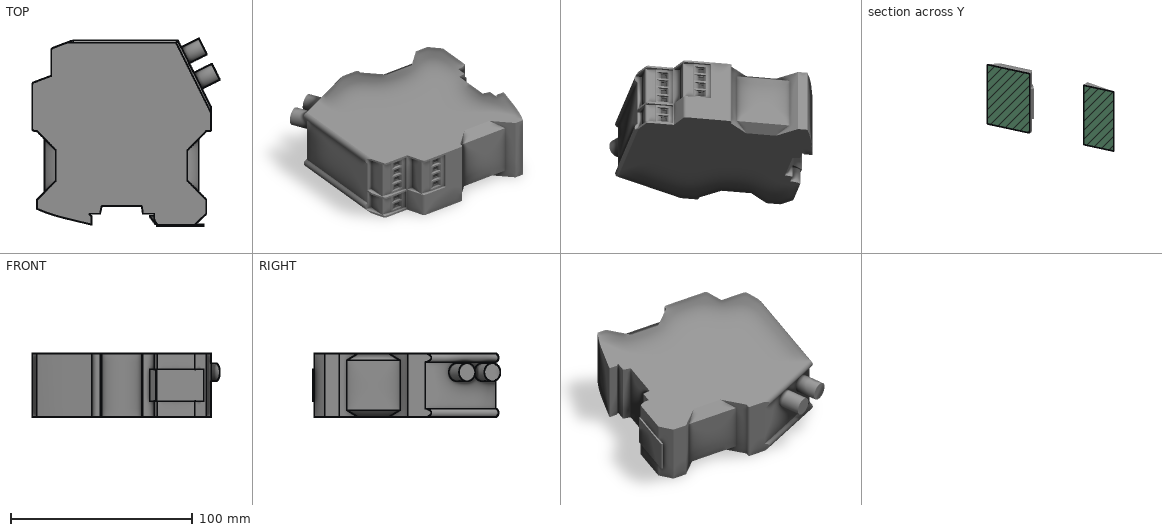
import cadquery as cq
import math

WIDTH = 98.9
THICK = 35.2

STEP_X = 10.5
STEP_LOW_Y = 79.1
STEP_HEIGHT = 19.0
STEP_SLOPE = math.radians(20.5)
STEP_ROUND = 1.8

COVER_Y = 101.2
COVER_CORNER_X = 79.5
SLANT_END_Y = 62.3
RAIL_HEIGHT = 1.5
RAIL_RADIUS = 2.7
RAIL_INSET = 2.4

SHOULDER_Y = 52.5
SHOULDER_X = 2.7
SHOULDER_ROUND_LEFT = 1.5
SHOULDER_ROUND_RIGHT = 0.9
WAIST_X = 13.2
WAIST_TOP_Y = 41.9
WAIST_LOW_Y = 25.2
PAD_X = 6.8
PAD_BEVEL = 3.8

FOOT_TOP_Y = WAIST_LOW_Y - (WAIST_X - SHOULDER_X)
FOOT_LEFT_Y = 9.5
FOOT_ARC_MID = (10.0, 6.7)
FOOT_ARC_END = (17.5, 4.6)
FOOT_TIP = (32.9, 0.8)
LIP_TOP_Y = 5.5
RAIL_SEAT_Y = 6.8
RAIL_LEFT_X = 31.7
RAIL_RIGHT_X = 67.3
RECESS_TOP_Y = 11.1
RECESS_LOW_X = (37.5, 61.1)
RECESS_TOP_X = (38.5, 60.5)
HEEL_X = 69.2
HEEL_TOP_Y = 4.7
HEEL_MID = (67.9, 2.7)
HEEL_Y = 0.8
TOE_X = 89.8
TOE_Y = 6.8

CLIP_START_X = 68.8
CLIP_END_X = 94.8
CLIP_THICK = 1.0
CLIP_HOOK_X = 64.8
CLIP_HOOK_END_X = 68.2
CLIP_HOOK_TIP = 0.4
CLIP_HOOK_Y = 5.9
CLIP_LOW_Z = 8.8
CLIP_HIGH_Z = 26.3

KNOB_RADIUS = 5.0
KNOB_LENGTH = 13.5
KNOB_Z = 24.8
KNOB_ENDS = [(94.3, 99.3), (101.4, 85.3)]

PLUG_TOP = 0.5
PLUG_LIP = 0.8
PLUG_SLANT_END = -5.1
PLUG_FACE_TOP = -5.4
PLUG_BOTTOM = -14.7
PLUG_LIP_SETBACK = 1.8
PLUG_SETBACK = 2.3
PLUG_SLANT_SETBACK = 1.8
PLUG_FACE_SETBACK = 1.3
SIDE_WALL = 1.1

WIDE_PLUG = (13.1, THICK - SIDE_WALL)
NARROW_PLUG = (SIDE_WALL, 12.0)
WIDE_FIRST_PORT = 16.3
NARROW_FIRST_PORT = 4.1

PITCH = 4.8
PORT_WIDTH = 3.7
PORT_TOP = -5.7
PORT_FLOOR_TOP = -8.5
PORT_FLOOR_BOTTOM = -11.4
PORT_BOTTOM = -12.4
PORT_DEPTH = 1.7
WIRE_HOLE_DEPTH = 2.5
WIRE_HOLE_INSET = 0.4

SLANT_DX = WIDTH - COVER_CORNER_X
SLANT_DY = COVER_Y - SLANT_END_Y
SLANT_LENGTH = math.hypot(SLANT_DX, SLANT_DY)
SLANT_ANGLE = math.degrees(math.atan2(SLANT_DY, SLANT_DX))
NORMAL = (SLANT_DY / SLANT_LENGTH, SLANT_DX / SLANT_LENGTH)
STEP_HIGH_Y = STEP_LOW_Y + STEP_HEIGHT
RAIL_TOP_Y = COVER_Y + RAIL_HEIGHT
SLANT_RISE = RAIL_HEIGHT * SLANT_LENGTH / SLANT_DX
RAIL_TOP_LEFT_X = STEP_X + (RAIL_TOP_Y - STEP_HIGH_Y) / math.tan(STEP_SLOPE)
RAIL_TOP_RIGHT_X = COVER_CORNER_X + (SLANT_RISE - RAIL_HEIGHT) * SLANT_DX / SLANT_DY


def prism(points, low=0, high=THICK):
    return cq.Workplane("XY", origin=(0, 0, low)).polyline(points).close().extrude(high - low)


def round_corner(body, x, y, radius):
    tiny = 0.1
    picker = cq.selectors.BoxSelector((x - tiny, y - tiny, -1), (x + tiny, y + tiny, THICK + 1))
    return body.edges("|Z").edges(picker).fillet(radius)


def housing():
    body = (
        cq.Workplane("XY")
        .moveTo(SHOULDER_X, FOOT_TOP_Y)
        .lineTo(SHOULDER_X, FOOT_LEFT_Y)
        .threePointArc(FOOT_ARC_MID, FOOT_ARC_END)
        .lineTo(*FOOT_TIP)
        .lineTo(FOOT_TIP[0], LIP_TOP_Y)
        .lineTo(RAIL_LEFT_X, LIP_TOP_Y + FOOT_TIP[0] - RAIL_LEFT_X)
        .lineTo(RAIL_LEFT_X, RAIL_SEAT_Y)
        .lineTo(RECESS_LOW_X[0], RAIL_SEAT_Y)
        .lineTo(RECESS_TOP_X[0], RECESS_TOP_Y)
        .lineTo(RECESS_TOP_X[1], RECESS_TOP_Y)
        .lineTo(RECESS_LOW_X[1], RAIL_SEAT_Y)
        .lineTo(RAIL_RIGHT_X, RAIL_SEAT_Y)
        .lineTo(RAIL_RIGHT_X, HEEL_TOP_Y)
        .threePointArc(HEEL_MID, (HEEL_X, HEEL_Y))
        .lineTo(TOE_X, HEEL_Y)
        .lineTo(WIDTH - SHOULDER_X, TOE_Y)
        .lineTo(WIDTH - SHOULDER_X, FOOT_TOP_Y)
        .lineTo(WIDTH - WAIST_X, WAIST_LOW_Y)
        .lineTo(WIDTH - WAIST_X, WAIST_TOP_Y)
        .lineTo(WIDTH - SHOULDER_X, SHOULDER_Y)
        .lineTo(WIDTH, SHOULDER_Y)
        .lineTo(WIDTH, SLANT_END_Y + SLANT_RISE)
        .lineTo(RAIL_TOP_RIGHT_X, RAIL_TOP_Y)
        .lineTo(RAIL_TOP_LEFT_X, RAIL_TOP_Y)
        .lineTo(STEP_X, STEP_HIGH_Y)
        .lineTo(STEP_X, STEP_LOW_Y + STEP_X * math.tan(STEP_SLOPE))
        .lineTo(0, STEP_LOW_Y)
        .lineTo(0, SHOULDER_Y)
        .lineTo(SHOULDER_X, SHOULDER_Y)
        .lineTo(WAIST_X, WAIST_TOP_Y)
        .lineTo(WAIST_X, WAIST_LOW_Y)
        .close()
        .extrude(THICK)
    )
    body = round_corner(body, 0, STEP_LOW_Y, STEP_ROUND)
    body = round_corner(body, STEP_X, STEP_HIGH_Y, STEP_ROUND)
    body = round_corner(body, 0, SHOULDER_Y, SHOULDER_ROUND_LEFT)
    return round_corner(body, WIDTH, SHOULDER_Y, SHOULDER_ROUND_RIGHT)


def rail_relief(angle):
    """Material above the cover, less two rounded rails, along an edge leaving the cover corner."""
    length = 2 * WIDTH
    height = 2 * RAIL_HEIGHT
    relief = cq.Workplane("XY").box(length, height, THICK, centered=(True, False, False))
    for z in (RAIL_INSET, THICK - RAIL_INSET):
        rail = (
            cq.Workplane("YZ", origin=(-length / 2, 0, 0))
            .center(RAIL_HEIGHT - RAIL_RADIUS, z)
            .circle(RAIL_RADIUS)
            .extrude(length)
        )
        relief = relief.cut(rail)
    relief = relief.rotate((0, 0, 0), (0, 0, 1), angle)
    return relief.translate((COVER_CORNER_X, COVER_Y, 0))


def pad():
    """Left waist pad with sides bevelled down to the notch wall."""
    notch = prism([
        (SHOULDER_X, FOOT_TOP_Y),
        (WAIST_X, WAIST_LOW_Y),
        (WAIST_X, WAIST_TOP_Y),
        (SHOULDER_X, SHOULDER_Y),
    ])
    section = (
        cq.Workplane("XZ", origin=(0, SHOULDER_Y, 0))
        .polyline([(WAIST_X, 0), (PAD_X, PAD_BEVEL), (PAD_X, THICK - PAD_BEVEL), (WAIST_X, THICK)])
        .close()
        .extrude(SHOULDER_Y - FOOT_TOP_Y)
    )
    return section.intersect(notch)


def foot_clip():
    return prism([
        (CLIP_START_X, 0),
        (CLIP_END_X, 0),
        (CLIP_END_X, CLIP_THICK),
        (HEEL_X, CLIP_THICK),
        (HEEL_X, CLIP_HOOK_Y),
        (CLIP_HOOK_X, CLIP_HOOK_Y),
        (CLIP_HOOK_X, CLIP_HOOK_Y - CLIP_HOOK_TIP),
        (CLIP_HOOK_END_X, CLIP_THICK),
        (CLIP_START_X, CLIP_THICK),
    ], CLIP_LOW_Z, CLIP_HIGH_Z)


def knob(end_x, end_y):
    end_plane = cq.Plane(origin=(end_x, end_y, KNOB_Z), xDir=(0, 0, 1), normal=(*NORMAL, 0))
    return cq.Workplane(end_plane).circle(KNOB_RADIUS).extrude(-KNOB_LENGTH)


def plug_recess(face_x, corner_y, back_x, top_y, z_range):
    """Space in front of a plug, whose top ends below the flat wall at back_x."""
    outside_x = face_x - SIDE_WALL
    return prism([
        (outside_x, top_y),
        (back_x, top_y),
        (back_x, corner_y + PLUG_TOP),
        (face_x + PLUG_LIP_SETBACK, corner_y + PLUG_TOP),
        (face_x + PLUG_SETBACK, corner_y + PLUG_TOP - PLUG_LIP),
        (face_x + PLUG_SLANT_SETBACK, corner_y + PLUG_SLANT_END),
        (face_x + PLUG_FACE_SETBACK, corner_y + PLUG_FACE_TOP),
        (face_x + PLUG_FACE_SETBACK, corner_y + PLUG_BOTTOM),
        (outside_x, corner_y + PLUG_BOTTOM),
    ], *z_range)


def ports(face_x, corner_y, first_z, count):
    """Row of openings with slanted ends, each with a narrower square wire hole in its floor."""
    plug_x = face_x + PLUG_FACE_SETBACK
    outline = [
        (plug_x, corner_y + PORT_TOP),
        (plug_x + PORT_DEPTH, corner_y + PORT_FLOOR_TOP),
        (plug_x + PORT_DEPTH, corner_y + PORT_FLOOR_BOTTOM),
        (plug_x, corner_y + PORT_BOTTOM),
    ]
    hole_size = (WIRE_HOLE_DEPTH, PORT_FLOOR_TOP - PORT_FLOOR_BOTTOM, PORT_WIDTH - 2 * WIRE_HOLE_INSET)
    row = cq.Workplane("XY")
    for index in range(count):
        middle = first_z + index * PITCH
        port = prism(outline, middle - PORT_WIDTH / 2, middle + PORT_WIDTH / 2)
        hole = cq.Workplane("XY").box(*hole_size, centered=(False, False, True))
        hole = hole.translate((plug_x, corner_y + PORT_FLOOR_BOTTOM, middle))
        row = row.add(port.union(hole))
    return row.combine()


result = housing()
result = result.cut(rail_relief(0))
result = result.cut(rail_relief(-SLANT_ANGLE))

left_pad = pad()
right_pad = left_pad.mirror("YZ", (WIDTH / 2, 0, 0))
result = result.union(left_pad).union(right_pad)

for face_x, corner_y, back_x, top_y, z_range, first_port, port_count in [
    (STEP_X, STEP_HIGH_Y, RAIL_TOP_LEFT_X, RAIL_TOP_Y, WIDE_PLUG, WIDE_FIRST_PORT, 4),
    (STEP_X, STEP_HIGH_Y, RAIL_TOP_LEFT_X, RAIL_TOP_Y, NARROW_PLUG, NARROW_FIRST_PORT, 2),
    (0, STEP_LOW_Y, STEP_X, STEP_HIGH_Y + PLUG_BOTTOM, WIDE_PLUG, WIDE_FIRST_PORT, 4),
]:
    result = result.cut(plug_recess(face_x, corner_y, back_x, top_y, z_range))
    result = result.cut(ports(face_x, corner_y, first_port, port_count))

result = result.union(foot_clip())
for end_x, end_y in KNOB_ENDS:
    result = result.union(knob(end_x, end_y))